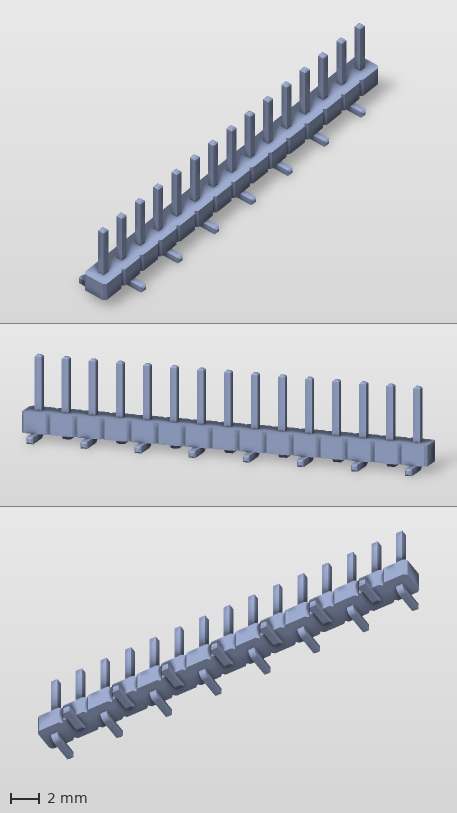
import cadquery as cq


strip_length = 30
pin_count = 15
overall_width = 4.2
overall_height = 6
strip_height = 1.5
corner_cut = 0.2

pitch = strip_length / pin_count
strip_width = pitch
pin_thickness = pitch / 4
bend_radius = pin_thickness
tip_length = pin_thickness / 4
tip_size = pin_thickness / 2
first_pin_y = (pitch - strip_length) / 2
foot_reach = overall_width / 2
half_pin = pin_thickness / 2


def make_strip():
    """Row of chamfered segments, resting on top of the feet."""
    half_width = strip_width / 2
    right_side = []
    for index in range(pin_count):
        start_y = -strip_length / 2 + index * pitch
        end_y = start_y + pitch
        right_side += [
            (half_width - corner_cut, start_y),
            (half_width, start_y + corner_cut),
            (half_width, end_y - corner_cut),
        ]
    right_side.append((half_width - corner_cut, strip_length / 2))
    left_side = [(-x, y) for x, y in reversed(right_side)]
    return (
        cq.Workplane("XY", origin=(0, 0, pin_thickness))
        .polyline(right_side + left_side)
        .close()
        .extrude(strip_height)
    )


def make_tip(end_plane):
    """Tapered wire end, growing along the normal of the given plane."""
    return (
        cq.Workplane(end_plane)
        .rect(pin_thickness, pin_thickness)
        .workplane(offset=tip_length)
        .rect(tip_size, tip_size)
        .loft(ruled=True)
    )


def make_pin():
    """L-shaped pin at Y = 0 with its foot pointing toward -X."""
    foot_end = tip_length - foot_reach
    post_end = overall_height - tip_length
    wire = (
        cq.Workplane("XZ", origin=(0, half_pin, 0))
        .moveTo(foot_end, 0)
        .lineTo(half_pin - bend_radius, 0)
        .radiusArc((half_pin, bend_radius), -bend_radius)
        .lineTo(half_pin, post_end)
        .lineTo(-half_pin, post_end)
        .lineTo(-half_pin, pin_thickness)
        .lineTo(foot_end, pin_thickness)
        .close()
        .extrude(pin_thickness)
    )
    post_tip = make_tip(cq.Plane(origin=(0, 0, post_end), xDir=(1, 0, 0), normal=(0, 0, 1)))
    foot_tip = make_tip(cq.Plane(origin=(foot_end, 0, half_pin), xDir=(0, 1, 0), normal=(-1, 0, 0)))
    return wire.union(post_tip).union(foot_tip)


left_pin = make_pin()
right_pin = left_pin.mirror("YZ")

result = make_strip()
for index in range(pin_count):
    pin = left_pin if index % 2 == 0 else right_pin
    result = result.union(pin.translate((0, first_pin_y + index * pitch, 0)))